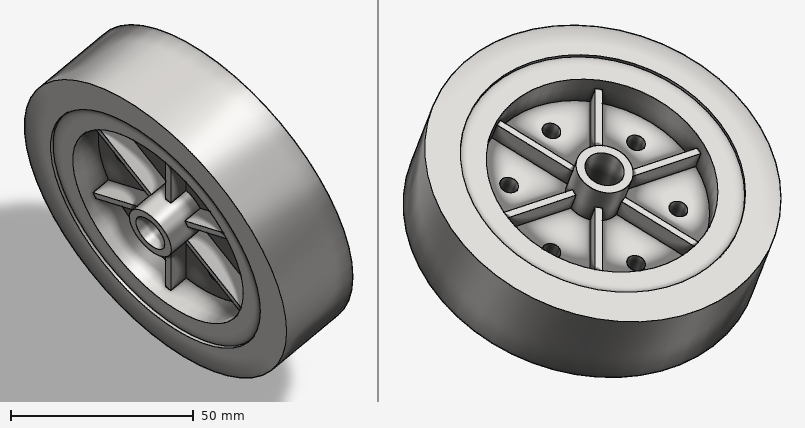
import cadquery as cq

tyre_diameter = 100
tyre_width = 26
rim_outer_diameter = 80
rim_inner_diameter = 65
rim_recess = 1

hub_diameter = 16
hub_projection = 2
bore_diameter = 11

web_depth = 10
web_front = rim_recess + web_depth

spoke_count = 6
spoke_width = 2
spoke_height = 6

web_hole_diameter = 5.2
web_hole_circle_diameter = 47.5


def disc(diameter, start, end):
    """Solid cylinder on the wheel axis between two Y positions."""
    plane = cq.Workplane("XZ", origin=(0, start, 0))
    return plane.circle(diameter / 2).extrude(start - end)


def ring(outer_diameter, inner_diameter, start, end):
    """Hollow cylinder on the wheel axis between two Y positions."""
    return disc(outer_diameter, start, end).cut(disc(inner_diameter, start, end))


def spoke(angle):
    """Radial rib on the front of the web, from the axis into the rim."""
    length = (rim_inner_diameter + rim_outer_diameter) / 4
    bar = cq.Workplane("XY").box(spoke_width, spoke_height, length, centered=(True, False, False))
    bar = bar.translate((0, web_front - spoke_height, 0))
    return bar.rotate((0, 0, 0), (0, 1, 0), angle)


def web_holes():
    """Cutters for the through holes midway between the spokes."""
    return (
        cq.Workplane("XZ", origin=(0, web_front, 0))
        .polarArray(web_hole_circle_diameter / 2, 0, 360, spoke_count)
        .circle(web_hole_diameter / 2)
        .extrude(web_front - tyre_width)
    )


tyre = ring(tyre_diameter, rim_outer_diameter, 0, tyre_width)
rim = ring(rim_outer_diameter, rim_inner_diameter, rim_recess, tyre_width)
web = disc(rim_inner_diameter, web_front, tyre_width).cut(web_holes())
hub = disc(hub_diameter, -hub_projection, tyre_width)

wheel = tyre.union(rim).union(web).union(hub)
for index in range(spoke_count):
    wheel = wheel.union(spoke(index * 360 / spoke_count))

result = wheel.cut(disc(bore_diameter, -hub_projection, tyre_width))